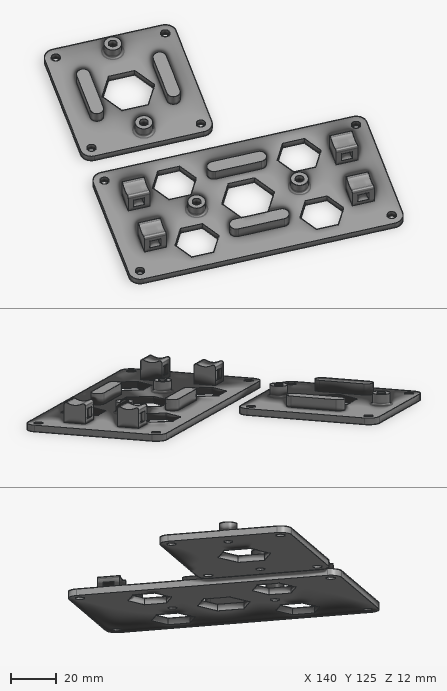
import cadquery as cq
import math

plate_width = 65.0
plate_thickness = 3.0
small_plate_length = 60.0
large_plate_length = 125.0
plate_gap = 10.0
corner_radius = 5.0
corner_hole_inset = 5.0
corner_hole_diameter = 4.0

large_center_x = plate_width + plate_gap
large_center_y = (large_plate_length - small_plate_length) / 2

boss_diameter = 7.8
boss_bore_diameter = 3.8
boss_height = 5.0
boss_foot_radius = 1.0
small_boss_offset = 24.0
large_boss_offset = 23.5

bar_length = 27.0
bar_width = 6.0
bar_height = 5.0
bar_offset = 17.5

center_hex_diameter = 24.0
outer_hex_diameter = 20.0
outer_hex_offset_x = 17.5
outer_hex_offset_y = 28.5

saddle_size = 10.0
saddle_height = 9.0
saddle_offset_x = 12.5
saddle_offset_y = 47.5
crest_radius = 1.0
cradle_depth = 1.0
strap_roof = 3.0
strap_channel_height = 4.0
strap_channel_width = 5.0

saddle_top = plate_thickness + saddle_height
crest_span = saddle_size / 2 - crest_radius
crest_center_z = saddle_top - crest_radius
cradle_bottom = saddle_top - cradle_depth
bottom_rise = cradle_bottom - crest_center_z
cradle_radius = (crest_span**2 + bottom_rise**2 - crest_radius**2) / (2 * (crest_radius - bottom_rise))
cradle_center_z = cradle_bottom + cradle_radius


def mirrored(x, y):
    """Points at every combination of +/-x and +/-y."""
    return [(sx * x, sy * y) for sx in (-1, 1) for sy in (-1, 1)]


def make_plate(length):
    plate = cq.Workplane("XY").box(plate_width, length, plate_thickness, centered=(True, True, False))
    plate = plate.edges("|Z").fillet(corner_radius)
    hole_points = mirrored(plate_width / 2 - corner_hole_inset, length / 2 - corner_hole_inset)
    return plate.faces(">Z").workplane(origin=(0, 0, 0)).pushPoints(hole_points).hole(corner_hole_diameter)


def cut_hexagon(plate, diameter, points):
    """Cut hexagonal windows with two corners on the Y direction."""
    for x, y in points:
        window = cq.Workplane("XY").polygon(6, diameter).extrude(plate_thickness)
        plate = plate.cut(window.rotate((0, 0, 0), (0, 0, 1), 90).translate((x, y, 0)))
    return plate


def add_bosses(plate, points):
    """Add bored bosses; the revolved outline has a concave fillet at the foot."""
    radius = boss_diameter / 2
    foot = boss_foot_radius
    fillet_middle = foot * (1 - math.sqrt(0.5))
    boss = (
        cq.Workplane("XZ")
        .lineTo(radius + foot, 0)
        .threePointArc((radius + fillet_middle, fillet_middle), (radius, foot))
        .lineTo(radius, boss_height)
        .lineTo(0, boss_height)
        .close()
        .revolve(360, (0, 0, 0), (0, 1, 0))
    )
    bore = cq.Workplane("XY").circle(boss_bore_diameter / 2).extrude(plate_thickness + boss_height)
    for x, y in points:
        plate = plate.union(boss.translate((x, y, plate_thickness)))
        plate = plate.cut(bore.translate((x, y, 0)))
    return plate


def add_bars(plate, points, angle):
    bars = (
        cq.Workplane("XY", origin=(0, 0, plate_thickness))
        .pushPoints(points)
        .slot2D(bar_length, bar_width, angle)
        .extrude(bar_height)
    )
    return plate.union(bars)


def make_saddle():
    half = saddle_size / 2
    center_distance = cradle_radius + crest_radius
    tangent_x = crest_span - crest_radius * crest_span / center_distance
    tangent_z = crest_center_z + crest_radius * (cradle_center_z - crest_center_z) / center_distance
    block = (
        cq.Workplane("XZ")
        .moveTo(-half, plate_thickness)
        .lineTo(half, plate_thickness)
        .lineTo(half, crest_center_z)
        .threePointArc((crest_span, saddle_top), (tangent_x, tangent_z))
        .threePointArc((0, cradle_bottom), (-tangent_x, tangent_z))
        .threePointArc((-crest_span, saddle_top), (-half, crest_center_z))
        .close()
        .extrude(half, both=True)
    )
    roof_radius = cradle_radius + strap_roof
    channel = (
        cq.Workplane("XZ", origin=(0, 0, cradle_center_z))
        .circle(roof_radius + strap_channel_height)
        .circle(roof_radius)
        .extrude(strap_channel_width / 2, both=True)
    )
    return block.cut(channel)


def make_small_panel():
    panel = make_plate(small_plate_length)
    panel = cut_hexagon(panel, center_hex_diameter, [(0, 0)])
    panel = add_bosses(panel, [(-small_boss_offset, 0), (small_boss_offset, 0)])
    return add_bars(panel, [(0, -bar_offset), (0, bar_offset)], 0)


def make_large_panel():
    panel = make_plate(large_plate_length)
    panel = cut_hexagon(panel, center_hex_diameter, [(0, 0)])
    panel = cut_hexagon(panel, outer_hex_diameter, mirrored(outer_hex_offset_x, outer_hex_offset_y))
    panel = add_bosses(panel, [(0, -large_boss_offset), (0, large_boss_offset)])
    panel = add_bars(panel, [(-bar_offset, 0), (bar_offset, 0)], 90)
    saddle = make_saddle()
    for x, y in mirrored(saddle_offset_x, saddle_offset_y):
        panel = panel.union(saddle.translate((x, y, 0)))
    return panel.translate((large_center_x, large_center_y, 0))


small_panel = make_small_panel()
large_panel = make_large_panel()

result = cq.Compound.makeCompound([*small_panel.solids().vals(), *large_panel.solids().vals()])